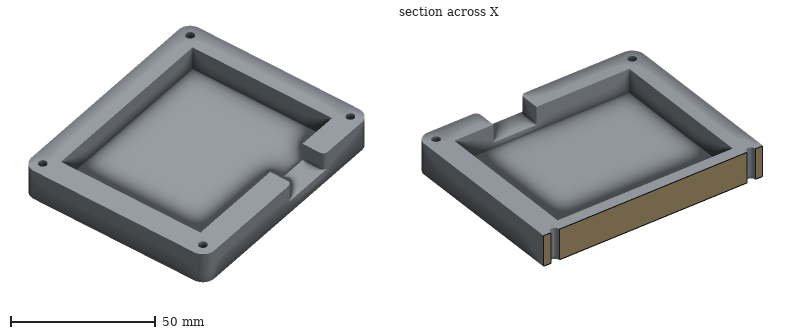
import cadquery as cq

length_x = 79.7
width_y = 94.0
height = 13.0
corner_radius = 5.0

wall = 9.5
pocket_depth = 10.0

hole_diameter = 3.4

notch_width = 18.4
notch_depth = 7.5
notch_center_y = 11.5
notch_mouth_radius = 2.0


def make_body():
    """Solid plate with rounded vertical corners, resting on Z = 0."""
    body = cq.Workplane("XY").box(length_x, width_y, height, centered=(True, True, False))
    return body.edges("|Z").fillet(corner_radius)


def make_pocket():
    """Sharp-cornered pocket volume that leaves an even wall all round."""
    return (
        cq.Workplane("XY")
        .workplane(offset=height - pocket_depth)
        .rect(length_x - 2 * wall, width_y - 2 * wall)
        .extrude(pocket_depth)
    )


def make_corner_holes():
    """Four cylinders through the full height at the corner centres."""
    spacing_x = length_x - 2 * corner_radius
    spacing_y = width_y - 2 * corner_radius
    return (
        cq.Workplane("XY")
        .rect(spacing_x, spacing_y, forConstruction=True)
        .vertices()
        .circle(hole_diameter / 2)
        .extrude(height)
    )


def make_notch():
    """Notch volume across the +X wall, flaring tangentially into the outer face."""
    inner_x = length_x / 2 - wall
    outer_x = length_x / 2
    flare_x = outer_x - notch_mouth_radius
    low_y = notch_center_y - notch_width / 2
    high_y = notch_center_y + notch_width / 2
    return (
        cq.Workplane("XY")
        .workplane(offset=height - notch_depth)
        .moveTo(inner_x, low_y)
        .lineTo(flare_x, low_y)
        .radiusArc((outer_x, low_y - notch_mouth_radius), notch_mouth_radius)
        .lineTo(outer_x, high_y + notch_mouth_radius)
        .radiusArc((flare_x, high_y), notch_mouth_radius)
        .lineTo(inner_x, high_y)
        .close()
        .extrude(notch_depth)
    )


result = make_body().cut(make_pocket()).cut(make_corner_holes()).cut(make_notch())